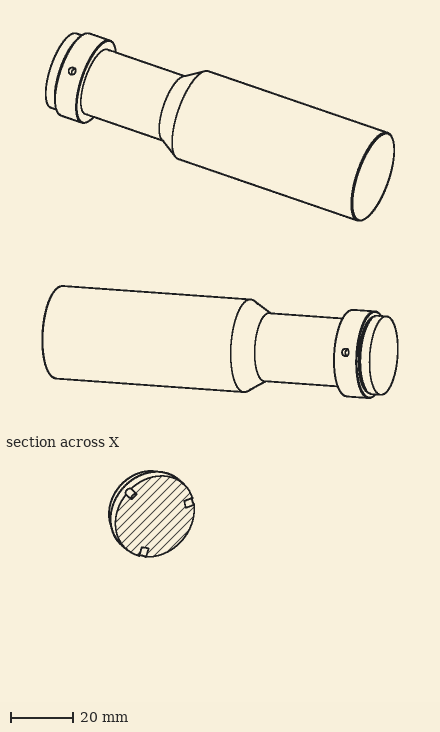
import cadquery as cq
import math

length = 112.4
barrel_radius = 15.0
barrel_chamfer = 0.3

neck_radius = 11.0
cone_start = 40.3
cone_end = 47.1

rim_radius = 12.7
rim_width = 3.3
groove_radius = 12.4
collar_radius = 14.0
collar_start = 3.9
collar_end = 11.9
collar_chamfer = 0.2

dish_radius = neck_radius
dish_depth = 0.3

screw_count = 3
screw_diameter = 2.4
screw_x = (collar_start + collar_end) / 2
first_screw_angle = 12.0


def turned_body():
    """Revolve the stepped half-profile, dished front included, about X."""
    dish_sphere_radius = (dish_radius**2 + dish_depth**2) / (2 * dish_depth)
    mid_radius = dish_radius / 2
    mid_depth = dish_depth - dish_sphere_radius + math.sqrt(dish_sphere_radius**2 - mid_radius**2)
    profile = (
        cq.Workplane("XY")
        .moveTo(dish_depth, 0)
        .threePointArc((mid_depth, mid_radius), (0, dish_radius))
        .lineTo(0, rim_radius)
        .lineTo(rim_width, rim_radius)
        .lineTo(rim_width, groove_radius)
        .lineTo(collar_start, groove_radius)
        .lineTo(collar_start, collar_radius - collar_chamfer)
        .lineTo(collar_start + collar_chamfer, collar_radius)
        .lineTo(collar_end - collar_chamfer, collar_radius)
        .lineTo(collar_end, collar_radius - collar_chamfer)
        .lineTo(collar_end, neck_radius)
        .lineTo(cone_start, neck_radius)
        .lineTo(cone_end, barrel_radius)
        .lineTo(length - barrel_chamfer, barrel_radius)
        .lineTo(length, barrel_radius - barrel_chamfer)
        .lineTo(length, 0)
        .close()
    )
    return profile.revolve(360, (0, 0, 0), (1, 0, 0))


def screw_hole(angle):
    """Cutter for one radial hole at the given angle around X."""
    direction = cq.Vector(0, math.cos(math.radians(angle)), math.sin(math.radians(angle)))
    base = cq.Vector(screw_x, 0, 0) + direction * neck_radius
    cutter_length = barrel_radius - neck_radius
    return cq.Solid.makeCylinder(screw_diameter / 2, cutter_length, base, direction)


result = turned_body()
for index in range(screw_count):
    result = result.cut(cq.Workplane(screw_hole(first_screw_angle + index * 360 / screw_count)))